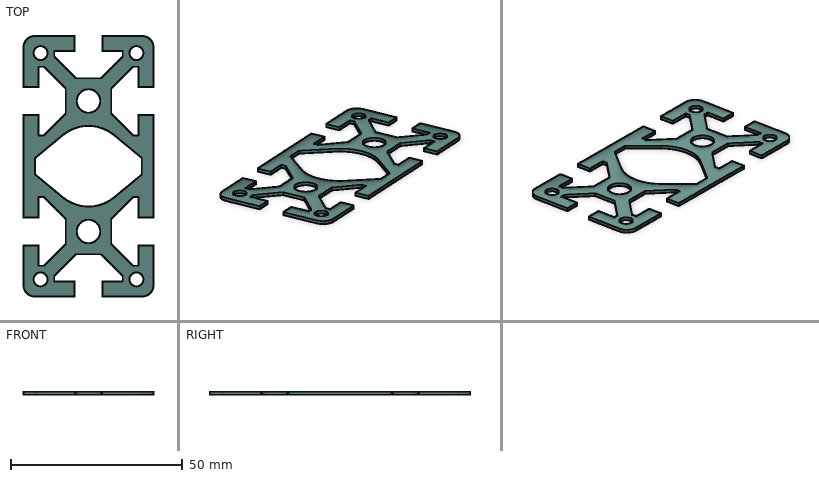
import math
import cadquery as cq

cell = 38.1
length = 2 * cell
thickness = 1.0
corner_radius = 3.5

core_hole_diameter = 6.8
corner_hole_diameter = 4.0
corner_hole_offset = 14.0

slot_opening = 8.1
lip_thickness = 4.5
cavity_width = 20.0
core_half_width = 6.7
rib_thickness = 4.3

window_radius = 11.75
window_wall = 3.5
window_flat = 4.8


def make_plate():
    """Rounded rectangular blank, bottom face on Z = 0."""
    blank = cq.Workplane("XY").box(cell, length, thickness, centered=(True, True, False))
    return blank.edges("|Z").fillet(corner_radius)


def make_slot(cell_y, angle):
    """T-slot cutter of the cell centred at cell_y, opening at the given angle from +Y."""
    rib_shift = rib_thickness / math.sqrt(2)
    edge = cell / 2
    lip = edge - lip_thickness
    opening_half = slot_opening / 2
    cavity_half = cavity_width / 2
    floor_half = core_half_width - rib_shift
    shoulder = cavity_half + rib_shift
    slot = (
        cq.Workplane("XY")
        .moveTo(opening_half, edge)
        .lineTo(opening_half, lip)
        .lineTo(cavity_half, lip)
        .lineTo(cavity_half, shoulder)
        .lineTo(floor_half, core_half_width)
        .lineTo(-floor_half, core_half_width)
        .lineTo(-cavity_half, shoulder)
        .lineTo(-cavity_half, lip)
        .lineTo(-opening_half, lip)
        .lineTo(-opening_half, edge)
        .close()
        .extrude(thickness)
    )
    return slot.rotate((0, 0, 0), (0, 0, 1), angle).translate((0, cell_y, 0))


def make_window():
    """Central opening: two arcs about the origin, tangent lines and two flat sides."""
    side_x = cell / 2 - window_wall
    side_y = window_flat / 2
    corner_distance = math.hypot(side_x, side_y)
    tangent_angle = math.atan2(side_y, side_x) + math.acos(window_radius / corner_distance)
    tangent_x = window_radius * math.cos(tangent_angle)
    tangent_y = window_radius * math.sin(tangent_angle)
    return (
        cq.Workplane("XY")
        .moveTo(side_x, -side_y)
        .lineTo(side_x, side_y)
        .lineTo(tangent_x, tangent_y)
        .threePointArc((0, window_radius), (-tangent_x, tangent_y))
        .lineTo(-side_x, side_y)
        .lineTo(-side_x, -side_y)
        .lineTo(-tangent_x, -tangent_y)
        .threePointArc((0, -window_radius), (tangent_x, -tangent_y))
        .close()
        .extrude(thickness)
    )


def make_holes(points, diameter):
    """Through-hole cutters at the given points."""
    return cq.Workplane("XY").pushPoints(points).circle(diameter / 2).extrude(thickness)


result = make_plate().cut(make_window())

core_points = []
corner_points = []
for end in (1, -1):
    cell_y = end * cell / 2
    core_points.append((0, cell_y))
    for side in (1, -1):
        corner_points.append((side * corner_hole_offset, cell_y + end * corner_hole_offset))
    end_angle = 0 if end > 0 else 180
    for angle in (end_angle, 90, -90):
        result = result.cut(make_slot(cell_y, angle))

result = result.cut(make_holes(core_points, core_hole_diameter))
result = result.cut(make_holes(corner_points, corner_hole_diameter))